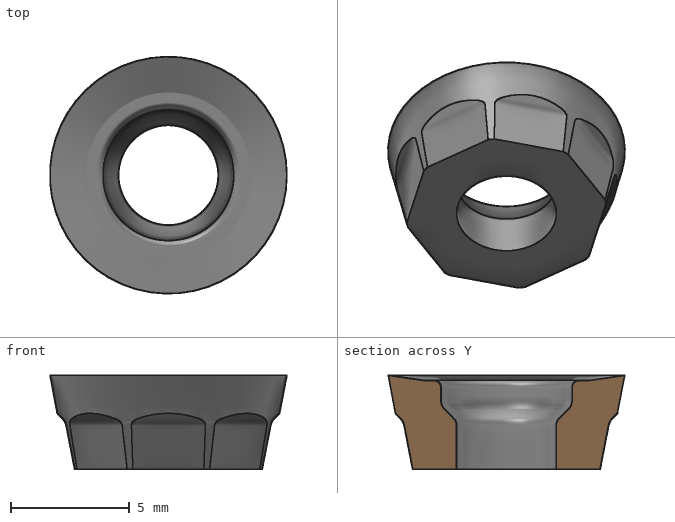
import cadquery as cq
import math


outer_radius = 5.0
thickness = 3.97
clearance_angle = 11.0

ring_outer_radius = 3.49
ring_depth = 0.22
ring_z = thickness - ring_depth

mouth_radius = 2.76
mouth_rounding = 0.30
throat_radius = 2.10
seat_angle = 45.0
seat_top_depth = 1.06
seat_top_z = ring_z - seat_top_depth
seat_height = (mouth_radius - throat_radius) / math.tan(math.radians(seat_angle))
seat_bottom_z = seat_top_z - seat_height
seat_top_rounding = 0.5
seat_bottom_rounding = 0.3

flat_count = 8
flat_bottom_apothem = 3.955
flat_height = 2.02
flat_ceiling_angle = 45.0
flat_root_radius = 0.57
flat_cutter_reach = 2.0
flat_cutter_width = 2 * flat_bottom_apothem


def inset(height, angle):
    """Horizontal run of a wall of the given height, leaning by angle degrees from vertical."""
    return height * math.tan(math.radians(angle))


def make_body():
    """Solid cone with its dished top."""
    bottom_radius = outer_radius - inset(thickness, clearance_angle)
    return (
        cq.Workplane("XZ")
        .moveTo(0, 0)
        .lineTo(bottom_radius, 0)
        .lineTo(outer_radius, thickness)
        .lineTo(ring_outer_radius, ring_z)
        .lineTo(0, ring_z)
        .close()
        .revolve(360, (0, 0, 0), (0, 1, 0))
    )


def circle_edge_at(radius, z):
    """Selector for the round edge of the given radius and height."""
    margin = 0.01
    return cq.selectors.BoxSelector(
        (-radius - margin, -radius - margin, z - margin),
        (radius + margin, radius + margin, z + margin),
        boundingbox=True,
    )


def cut_screw_hole(body):
    """Through hole with a conical seat, rounded at the mouth and at both ends of the seat."""
    hole = (
        cq.Workplane("XZ")
        .moveTo(0, 0)
        .lineTo(throat_radius, 0)
        .lineTo(throat_radius, seat_bottom_z)
        .lineTo(mouth_radius, seat_top_z)
        .lineTo(mouth_radius, ring_z)
        .lineTo(0, ring_z)
        .close()
        .revolve(360, (0, 0, 0), (0, 1, 0))
    )
    body = body.cut(hole)
    body = body.edges(circle_edge_at(mouth_radius, ring_z)).fillet(mouth_rounding)
    body = body.edges(circle_edge_at(mouth_radius, seat_top_z)).fillet(seat_top_rounding)
    return body.edges(circle_edge_at(throat_radius, seat_bottom_z)).fillet(seat_bottom_rounding)


def make_flat_cutter():
    """Material outside the flat facing +X: a leaning wall under a sloping ceiling, rounded between."""
    root_x = flat_bottom_apothem + inset(flat_height, clearance_angle)
    end_x = root_x + flat_cutter_reach
    end_z = flat_height + flat_cutter_reach / math.tan(math.radians(flat_ceiling_angle))
    return (
        cq.Workplane("XZ")
        .moveTo(flat_bottom_apothem, 0)
        .lineTo(root_x, flat_height)
        .lineTo(end_x, end_z)
        .lineTo(end_x, 0)
        .close()
        .extrude(flat_cutter_width / 2, both=True)
        .edges("|Y")
        .edges(cq.selectors.NearestToPointSelector((root_x, 0, flat_height)))
        .fillet(flat_root_radius)
    )


def cut_flats(body):
    """Cut the flats, evenly spaced around the axis."""
    cutter = make_flat_cutter()
    for index in range(flat_count):
        angle = index * 360 / flat_count
        body = body.cut(cutter.rotate((0, 0, 0), (0, 0, 1), angle))
    return body


result = cut_flats(cut_screw_hole(make_body()))